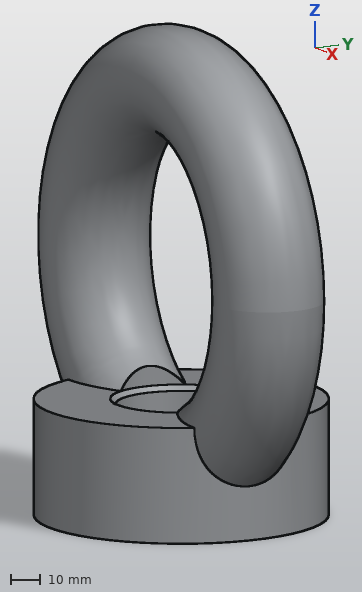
import cadquery as cq

overall_height = 168
base_diameter = 100.0
base_height = 40.0
ring_outer_diameter = 166.0
bar_diameter = 38.0
bore_diameter = 44.4
mouth_diameter = 48.0

bar_path_radius = (ring_outer_diameter - bar_diameter) / 2
ring_center_height = overall_height - ring_outer_diameter / 2
chamfer_size = (mouth_diameter - bore_diameter) / 2


def lifting_ring():
    """Round bar bent into a closed ring standing in the XZ plane."""
    return (
        cq.Workplane("XY", origin=(0, 0, ring_center_height))
        .center(bar_path_radius, 0)
        .circle(bar_diameter / 2)
        .revolve(360, (-bar_path_radius, 0), (-bar_path_radius, 1))
    )


def bore_cutter():
    """Through bore, chamfered at the base top and widened where it clears the ring."""
    return (
        cq.Workplane("XZ")
        .moveTo(0, 0)
        .lineTo(bore_diameter / 2, 0)
        .lineTo(bore_diameter / 2, base_height - chamfer_size)
        .lineTo(mouth_diameter / 2, base_height)
        .lineTo(mouth_diameter / 2, ring_center_height)
        .lineTo(0, ring_center_height)
        .close()
        .revolve(360, (0, 0), (0, 1))
    )


base = cq.Workplane("XY").circle(base_diameter / 2).extrude(base_height)
result = base.union(lifting_ring()).cut(bore_cutter())